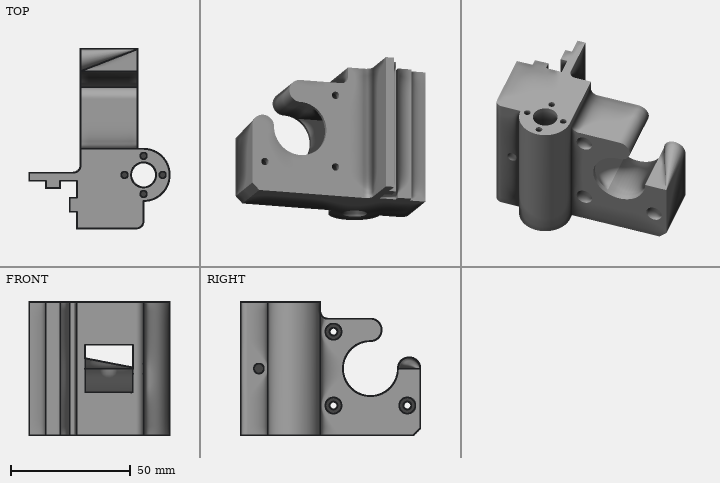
import cadquery as cq
import math

cos_45 = math.cos(math.radians(45))

height = 56.0
edge_radius = 3.0

boss_radius = 11.0
rod_bore_diameter = 10.4
boss_screw_diameter = 2.8
boss_screw_circle_radius = 8.0
boss_screw_depth = 10.0
boss_screw_count = 4

beam_side = 20.0
tongue_width = 6.0
tongue_height = 3.0
seat_x = -28.0
seat_y = -2.5
flange_thickness = 3.5
front_y = seat_y - beam_side
flange_end_x = seat_x - beam_side
flange_back_y = seat_y + flange_thickness

bracket_near_x = -26.5
bracket_width = 24.0
bracket_far_x = bracket_near_x + bracket_width
motor_y = 32.0
motor_z = 28.0
motor_bore_radius = 11.5
finger_diameter = 9.5
finger_radius = finger_diameter / 2
bracket_reach = motor_bore_radius + finger_diameter
bracket_end_y = motor_y + bracket_reach
bracket_top_z = motor_z + bracket_reach
finger_centre_offset = motor_bore_radius + finger_radius

motor_screw_half_spacing = 15.5
motor_screw_diameter = 3.2
motor_screw_head_diameter = 6.8
motor_screw_wall = 3.5

cap_tip_radius = 0.1

window_side = 20.0
window_x = (bracket_near_x + bracket_far_x) / 2
window_z = motor_z

side_hole_diameter = 4.2
side_hole_y = -14.8


def box(x_range, y_range, z_range):
    """Box between two limits along each axis."""
    size = [limits[1] - limits[0] for limits in (x_range, y_range, z_range)]
    corner = (x_range[0], y_range[0], z_range[0])
    return cq.Workplane("XY").box(*size, centered=False).translate(corner)


def x_cylinder(diameter, y, z, start_x, end_x):
    """Cylinder along X from start_x to end_x."""
    return (
        cq.Workplane("YZ", origin=(start_x, y, z))
        .circle(diameter / 2)
        .extrude(end_x - start_x)
    )


def make_body():
    """Full-height block with the rod boss, the flange and the tongues."""
    block = box((seat_x, 0), (front_y, seat_y), (0, height))
    block = block.edges("|Z and >X and <Y").fillet(edge_radius)
    rear = box((bracket_near_x, 0), (seat_y, boss_radius), (0, height))
    flange = box((flange_end_x, bracket_near_x), (seat_y, flange_back_y), (0, height))
    boss = cq.Workplane("XY").circle(boss_radius).extrude(height)
    body = block.union(rear).union(flange).union(boss)

    inner_corner = cq.selectors.NearestToPointSelector((bracket_near_x, flange_back_y, height / 2))
    body = body.edges("|Z").edges(inner_corner).fillet(edge_radius)

    tongue_start = (beam_side - tongue_width) / 2
    tongue_end = tongue_start + tongue_width
    flange_tongue = box(
        (seat_x - tongue_end, seat_x - tongue_start),
        (seat_y - tongue_height, seat_y),
        (0, height),
    )
    block_tongue = box(
        (seat_x - tongue_height, seat_x),
        (seat_y - tongue_end, seat_y - tongue_start),
        (0, height),
    )
    return body.union(flange_tongue).union(block_tongue)


def make_bracket():
    """Motor bracket plate, outlined in Y and Z."""
    bore_side = motor_bore_radius * cos_45
    corner_arc_offset = edge_radius * (1 - cos_45)
    high_finger_z = motor_z + finger_centre_offset
    return (
        cq.Workplane("YZ", origin=(bracket_near_x, 0, 0))
        .moveTo(seat_y, 0)
        .lineTo(bracket_end_y - edge_radius, 0)
        .lineTo(bracket_end_y, edge_radius)
        .lineTo(bracket_end_y, motor_z)
        .lineTo(motor_y + motor_bore_radius, motor_z)
        .threePointArc(
            (motor_y - bore_side, motor_z - bore_side),
            (motor_y, motor_z + motor_bore_radius),
        )
        .threePointArc(
            (motor_y + finger_radius, high_finger_z),
            (motor_y, bracket_top_z),
        )
        .lineTo(boss_radius + edge_radius, bracket_top_z)
        .threePointArc(
            (boss_radius + corner_arc_offset, bracket_top_z + corner_arc_offset),
            (boss_radius, bracket_top_z + edge_radius),
        )
        .lineTo(seat_y, bracket_top_z + edge_radius)
        .close()
        .extrude(bracket_width)
    )


def half_disc_wire(x, radius):
    """Upper half disc across X, flush with the end of the bracket."""
    centre_y = bracket_end_y - radius
    profile = (
        cq.Workplane("YZ", origin=(x, 0, 0))
        .moveTo(bracket_end_y, motor_z)
        .threePointArc((centre_y, motor_z + radius), (centre_y - radius, motor_z))
        .close()
    )
    return profile.val()


def make_finger_cap():
    """Half cone on the low finger, tapering along X almost to a point at the end face."""
    near_end = half_disc_wire(bracket_near_x, finger_radius)
    far_end = half_disc_wire(bracket_far_x, cap_tip_radius)
    return cq.Workplane(cq.Solid.makeLoft([near_end, far_end], True))


def cut_boss_holes(part):
    """Through bore for the rod and blind screw holes around it."""
    part = part.cut(cq.Workplane("XY").circle(rod_bore_diameter / 2).extrude(height))
    screws = (
        cq.Workplane("XY", origin=(0, 0, height))
        .polarArray(boss_screw_circle_radius, 0, 360, boss_screw_count)
        .circle(boss_screw_diameter / 2)
        .extrude(-boss_screw_depth)
    )
    return part.cut(screws)


def cut_motor_screws(part):
    """Motor screw holes with head bores that leave a thin wall at the motor face."""
    low_z = motor_z - motor_screw_half_spacing
    high_z = motor_z + motor_screw_half_spacing
    near_y = motor_y - motor_screw_half_spacing
    far_y = motor_y + motor_screw_half_spacing
    head_x = bracket_near_x + motor_screw_wall
    for y, z in ((near_y, low_z), (near_y, high_z), (far_y, low_z)):
        part = part.cut(x_cylinder(motor_screw_diameter, y, z, bracket_near_x, bracket_far_x))
        part = part.cut(x_cylinder(motor_screw_head_diameter, y, z, head_x, bracket_far_x))
    return part


def cut_window(part):
    """Square window along Y, ending inside the motor bore."""
    half_side = window_side / 2
    window = box(
        (window_x - half_side, window_x + half_side),
        (front_y, motor_y),
        (window_z - half_side, window_z + half_side),
    )
    return part.cut(window)


def cut_side_hole(part):
    """Round hole from the window through the +X wall."""
    return part.cut(x_cylinder(side_hole_diameter, side_hole_y, window_z, window_x, 0))


result = make_body().union(make_bracket()).union(make_finger_cap())
result = cut_boss_holes(result)
result = cut_motor_screws(result)
result = cut_window(result)
result = cut_side_hole(result)